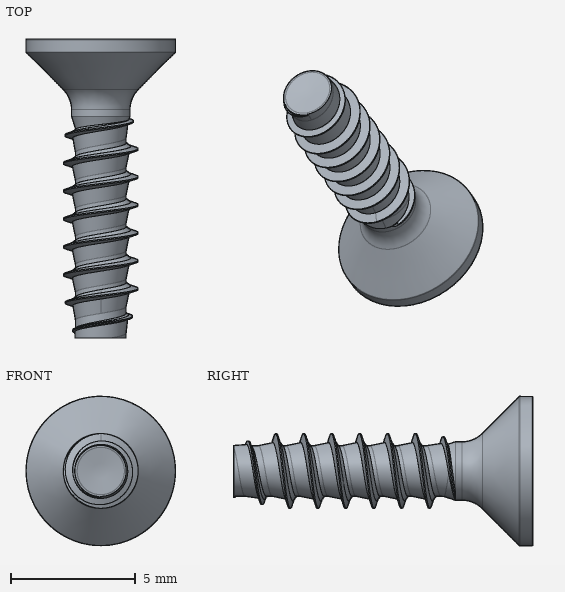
import cadquery as cq
import math

length = 12.0

head_radius = 3.0
rim_height = 0.54
rim_edge_round = 0.04
cone_slope = math.radians(45)
cone_end_radius = 1.51
cone_end_depth = rim_height + (head_radius - cone_end_radius) / math.tan(cone_slope)

neck_radius = 1.18
core_radius = 1.02
thread_start_depth = 3.11
neck_taper_end_depth = 3.6
blend_radius = (cone_end_radius - neck_radius) / (1 - math.cos(cone_slope))

dish_radius = 0.95
dish_depth = 0.08

pitch = 3.36 / 3
crest_radius = 1.5
crest_width = 0.05
root_radius = 1.14
knee_radius = 1.2
knee_width = 0.1
head_flank_width = 0.23
tip_flank_width = 0.11
root_taper_length = 0.58
embed_radius = 0.98

first_crest_depth = 3.02
rise_turns = 1.0
full_turns = 5.5
fade_turns = 1.5
rise_start_crest_radius = 1.25
fade_end_crest_radius = 1.05


def make_body():
    """Head, neck and core as one revolved profile; local Z is the depth below the head face."""
    blend_end_depth = cone_end_depth + blend_radius * math.sin(cone_slope)
    blend_mid_angle = cone_slope / 2
    blend_mid = (
        neck_radius + blend_radius * (1 - math.cos(blend_mid_angle)),
        blend_end_depth - blend_radius * math.sin(blend_mid_angle),
    )
    turned = (
        cq.Workplane("XZ")
        .lineTo(head_radius, 0)
        .lineTo(head_radius, rim_height)
        .lineTo(cone_end_radius, cone_end_depth)
        .threePointArc(blend_mid, (neck_radius, blend_end_depth))
        .lineTo(neck_radius, thread_start_depth)
        .lineTo(core_radius, neck_taper_end_depth)
        .lineTo(core_radius, length)
        .lineTo(dish_radius, length)
        .lineTo(0, length - dish_depth)
        .close()
        .revolve(360, (0, 0), (0, 1))
    )
    rim_edges = cq.selectors.RadiusNthSelector(-1)
    return turned.edges(rim_edges).fillet(rim_edge_round)


def thread_profile(profile_crest_radius):
    """Corners (radius, offset along the axis) of the thread, shrunk to the given crest radius."""
    scale = (profile_crest_radius - core_radius) / (crest_radius - core_radius)
    half_crest = crest_width / 2
    head_toe = -half_crest - head_flank_width * scale
    root_start = half_crest + tip_flank_width * scale
    root_end = root_start + root_taper_length
    return [
        (embed_radius, head_toe),
        (core_radius, head_toe),
        (core_radius + (knee_radius - core_radius) * scale, -half_crest - knee_width * scale),
        (profile_crest_radius, -half_crest),
        (profile_crest_radius, half_crest),
        (core_radius + (root_radius - core_radius) * scale, root_start),
        (core_radius, root_end),
        (embed_radius, root_end),
    ]


def helix_edge(start, end, start_turn, turns):
    """Helix running from one profile corner to another; its radius may change along the way."""
    start_radius, start_offset = start
    end_radius, end_offset = end
    rise = turns * pitch + end_offset - start_offset
    cone_angle = math.atan2(end_radius - start_radius, rise)
    slant = rise / math.cos(cone_angle)
    if start_radius == end_radius:
        helix = cq.Wire.makeHelix(rise / turns, rise, start_radius)
    else:
        helix = cq.Wire.makeHelix(slant / turns, slant, start_radius, angle=math.degrees(cone_angle))
    return (
        helix.rotate(cq.Vector(0, 0, 0), cq.Vector(0, 0, 1), 360 * start_turn)
        .translate(cq.Vector(0, 0, first_crest_depth + start_turn * pitch + start_offset))
        .Edges()[0]
    )


def thread_stretch(start_profile, end_profile, start_turn, turns):
    """Ruled helical faces between two thread profiles."""
    edges = [helix_edge(a, b, start_turn, turns) for a, b in zip(start_profile, end_profile)]
    return [cq.Face.makeRuledSurface(a, b) for a, b in zip(edges, edges[1:] + edges[:1])]


def profile_face(profile, turn):
    """Flat end of the thread in the axial plane at the given turn."""
    angle = 2 * math.pi * turn
    depth = first_crest_depth + turn * pitch
    points = [cq.Vector(r * math.cos(angle), r * math.sin(angle), depth + z) for r, z in profile]
    return cq.Face.makeFromWires(cq.Wire.makePolygon(points, close=True))


def make_thread():
    """Whole thread ridge, trimmed to the threaded part of the core."""
    rise_profile = thread_profile(rise_start_crest_radius)
    full_profile = thread_profile(crest_radius)
    fade_profile = thread_profile(fade_end_crest_radius)
    fade_turn = rise_turns + full_turns
    faces = [
        profile_face(rise_profile, 0),
        *thread_stretch(rise_profile, full_profile, 0, rise_turns),
        *thread_stretch(full_profile, full_profile, rise_turns, full_turns),
        *thread_stretch(full_profile, fade_profile, fade_turn, fade_turns),
        profile_face(fade_profile, fade_turn + fade_turns),
    ]
    ridge = cq.Workplane(cq.Solid.makeSolid(cq.Shell.makeShell(faces)))
    threaded_zone = (
        cq.Workplane("XY", origin=(0, 0, thread_start_depth))
        .circle(head_radius)
        .extrude(length - thread_start_depth)
    )
    return threaded_zone.intersect(ridge)


screw = make_body().union(make_thread())

screw_frame = cq.Plane(origin=(0, 0, 0), xDir=(0, 0, -1), normal=(0, -1, 0))
result = cq.Workplane(screw.val().moved(cq.Location(screw_frame)))